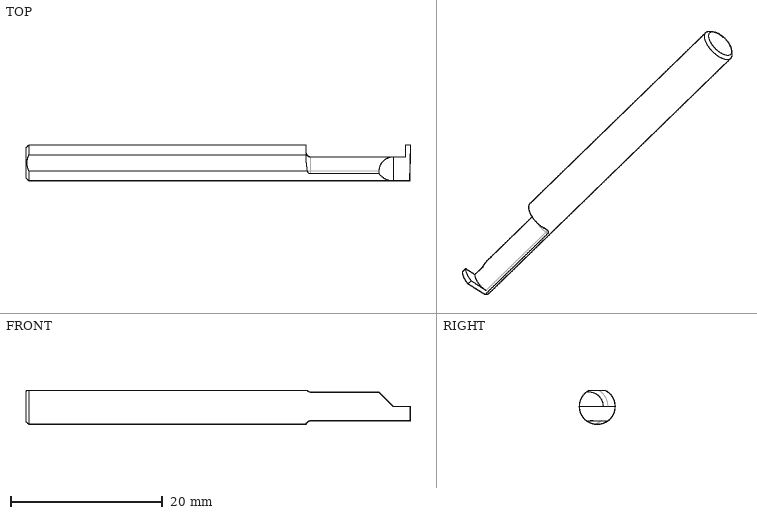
import cadquery as cq

length = 50.8
shank_radius = 2.377
flat_height = 2.123
end_chamfer = 0.4

neck_start = 37.0
neck_radius = 1.9
neck_center_y = -1.1
neck_fillet = 0.6

rake_height = 0.0
rake_start = 48.52
tooth_width = 0.7
end_lead = 0.12

margin = 1.0
reach = 2 * shank_radius


def box_between(low, high):
    """Box with the two given opposite corners."""
    size = [b - a for a, b in zip(low, high)]
    return cq.Workplane("XY").box(*size, centered=False).translate(low)


def make_blank():
    """Round bar with a chamfered rear end and a flat along its top."""
    bar = cq.Workplane("YZ").circle(shank_radius).extrude(length)
    bar = bar.faces("<X").chamfer(end_chamfer)
    flat_cut = box_between(
        (-margin, -shank_radius, flat_height), (length + margin, shank_radius, reach))
    return bar.cut(flat_cut)


def neck_profile(plane):
    """Half outline of the neck above its center line, with the fillet at the shank wall."""
    core_end = length + margin
    return (
        cq.Workplane(plane, origin=(0, neck_center_y, 0))
        .moveTo(neck_start, 0)
        .lineTo(neck_start, neck_radius + neck_fillet)
        .radiusArc((neck_start + neck_fillet, neck_radius), -neck_fillet)
        .lineTo(core_end, neck_radius)
        .lineTo(core_end, 0)
        .close()
    )


def make_neck_core():
    """Slot-shaped bar that the neck keeps, flaring into the shank wall with a fillet."""
    rounded = neck_profile("XY").revolve(360, (0, 0), (1, 0))
    upper_half = neck_profile("XZ").extrude(reach)
    lower_half = upper_half.mirror("XY")
    return rounded.union(upper_half).union(lower_half)


def make_neck_cut():
    """Material removed around the neck, leaving the tooth at the tip."""
    around = box_between((neck_start, -reach, -reach), (length + margin, reach, reach))
    tooth = box_between(
        (length - tooth_width, neck_center_y, -neck_radius), (length + margin, reach, reach))
    return around.cut(make_neck_core()).cut(tooth)


def make_rake_cut():
    """Clears the tip down to the rake face, with a 45 degree run-out."""
    return (
        cq.Workplane("XZ")
        .moveTo(rake_start, rake_height)
        .lineTo(length + margin, rake_height)
        .lineTo(length + margin, rake_height + reach)
        .lineTo(rake_start - reach, rake_height + reach)
        .close()
        .extrude(reach, both=True)
    )


def make_end_lead_cut():
    """Slants the end face back from the tooth tip toward the -Y side."""
    return (
        cq.Workplane("XY")
        .moveTo(length, shank_radius)
        .lineTo(length - end_lead, -shank_radius)
        .lineTo(length + margin, -shank_radius)
        .lineTo(length + margin, shank_radius)
        .close()
        .extrude(reach, both=True)
    )


result = (
    make_blank()
    .cut(make_neck_cut())
    .cut(make_rake_cut())
    .cut(make_end_lead_cut())
)